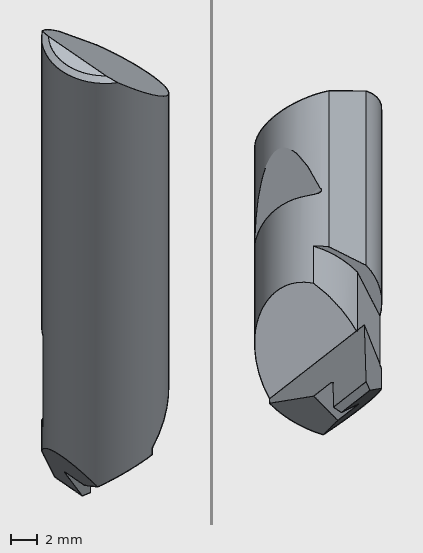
import cadquery as cq
import math

length = 50.8
radius = 4.8
reach = 2 * radius

end_chamfer_width = 0.5
end_chamfer_height = end_chamfer_width * math.tan(math.radians(30))
end_bevel_y = -3.05

flat_end_y = 3.0

notch_top_z = 37.05
notch_floor_y = 3.5
notch_floor_z = 28.65
notch_bottom_z = 27.5
notch_radius = 0.8

relief_top_z = 19.1
relief_bottom_z = 9.3
relief_x = -3.9
relief_front_y = -3.9
relief_back_y = 3.8

rake_top_y = 0.1
tip_thickness = 0.8
bottom_rise = 0.2
front_slope = 1 / math.tan(math.radians(25))
corner_bevel_z = 8.6
shoulder_z = 4.2
neck_x = -1.5
neck_clearance = math.tan(math.radians(5))
neck_corner_radius = 0.3
side_clearance = 0.4
side_back_taper = 0.125


def rim_x(y):
    """X of the -X half of the shank circle at a given Y."""
    return -math.sqrt(radius**2 - y**2)


def across(points):
    """Cut a (Y, Z) outline through the whole width in X."""
    return cq.Workplane("YZ").polyline(points).close().extrude(reach, both=True)


def make_shank():
    shank = cq.Workplane("XY").circle(radius).extrude(length)
    return shank.faces(">Z").chamfer(end_chamfer_height, end_chamfer_width)


def end_bevel():
    drop = reach - end_bevel_y
    return across([(end_bevel_y, length), (reach, length - drop), (reach, length)])


def long_flat():
    outline = [(-radius, 0), (rim_x(flat_end_y), flat_end_y), (-reach, flat_end_y), (-reach, 0)]
    return (
        cq.Workplane("XY").workplane(offset=relief_bottom_z)
        .polyline(outline).close().extrude(length - relief_bottom_z)
    )


def clamping_notch():
    slope = (radius - notch_floor_y) / (notch_top_z - notch_floor_z)
    overshoot = reach - radius
    return (
        cq.Workplane("YZ")
        .moveTo(reach, notch_top_z + overshoot / slope)
        .lineTo(notch_floor_y, notch_floor_z)
        .radiusArc((notch_floor_y + notch_radius, notch_bottom_z), -notch_radius)
        .lineTo(reach, notch_bottom_z)
        .close().extrude(reach, both=True)
    )


def side_relief():
    """Plane in front of Y = 0, blending into a shallow arc behind it."""
    back_x = rim_x(relief_back_y)
    rise = back_x - relief_x
    arc_radius = (relief_back_y**2 + rise**2) / (2 * rise)
    return (
        cq.Workplane("XY").workplane(offset=relief_bottom_z)
        .moveTo(-reach, relief_front_y)
        .lineTo(rim_x(relief_front_y), relief_front_y)
        .lineTo(relief_x, 0)
        .radiusArc((back_x, relief_back_y), arc_radius)
        .lineTo(-reach, relief_back_y)
        .close().extrude(relief_top_z - relief_bottom_z)
    )


def rake_cut():
    """Half of the lower end removed, run out by a 45 degree slope."""
    return across([
        (0, 0),
        (rake_top_y, relief_bottom_z),
        (reach, relief_bottom_z + reach - rake_top_y),
        (reach, 0),
    ])


def front_slant():
    top_z = bottom_rise + (reach - tip_thickness) * front_slope
    return across([(0, 0), (-tip_thickness, bottom_rise), (-reach, top_z), (-reach, 0)])


def corner_cut():
    """45 degree corner bevel and the step beside the neck."""
    bevel_end_x = radius - (corner_bevel_z - shoulder_z)
    step = (
        cq.Workplane("XY")
        .polyline([
            (neck_x + neck_clearance * reach, reach),
            (neck_x - neck_clearance * reach, -reach),
            (reach, -reach),
            (reach, reach),
        ])
        .close().extrude(shoulder_z)
        .faces("<X").edges(">Z").fillet(neck_corner_radius)
    )
    bevel = (
        cq.Workplane("XZ")
        .polyline([
            (bevel_end_x, shoulder_z),
            (reach, shoulder_z + reach - bevel_end_x),
            (reach, shoulder_z),
        ])
        .close().extrude(reach, both=True)
    )
    return step.union(bevel)


def tip_side_clearance():
    """Tilted plane below the relief, tapering back from the cutting edge."""
    def section(sketch, edge_x):
        return sketch.polyline([
            (edge_x - side_clearance * radius, radius),
            (edge_x + side_clearance * radius, -radius),
            (-reach, -radius),
            (-reach, radius),
        ]).close()

    lower = section(cq.Workplane("XY"), -radius)
    upper = section(lower.workplane(offset=relief_bottom_z), side_back_taper - radius)
    return upper.loft(ruled=True)


result = make_shank()
for cutter in (
    end_bevel(),
    long_flat(),
    clamping_notch(),
    side_relief(),
    rake_cut(),
    front_slant(),
    corner_cut(),
    tip_side_clearance(),
):
    result = result.cut(cutter)